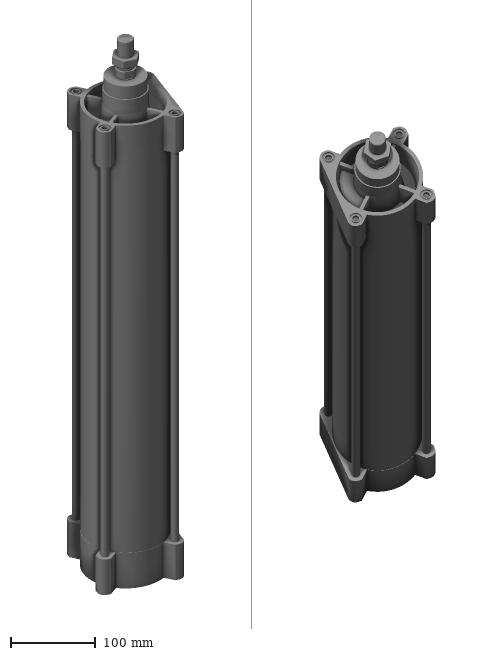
import cadquery as cq
import math

TOTAL_LENGTH = 731.5
REAR_BOSS_HEIGHT = 4.0
HEAD_HEIGHT = 49.0
FRONT_HEAD_TOP = 643.0
COLLAR_STEP_Z = 663.0
COLLAR_TOP = 680.0
ROD_SHOULDER_Z = 691.0
NUT_BOTTOM = 699.0
NUT_HEIGHT = 9.5
FRONT_HEAD_BOTTOM = FRONT_HEAD_TOP - HEAD_HEIGHT
REAR_HEAD_TOP = REAR_BOSS_HEIGHT + HEAD_HEIGHT

HEAD_SIDE = 110.0
HEAD_DIAMETER = 107.5
TUBE_DIAMETER = 107.0
LUG_WIDTH = 20.0
LUG_CORNER_DIAMETER = 18.0
PAD_INNER_Y = 42.0
BOSS_DIAMETER = 55.0
COLLAR_DIAMETER = 52.0

TIE_ROD_OFFSET = 44.5
TIE_ROD_DIAMETER = 10.0
SCREW_SEAT_DIAMETER = 15.0
SCREW_SEAT_DEPTH = 2.0
SCREW_SOCKET_DIAMETER = 8.0
SCREW_SOCKET_DEPTH = 4.5

RECESS_MOUTH_DIAMETER = 98.0
RECESS_FLOOR_DIAMETER = 89.0
RECESS_DEPTH = 29.0
BOSS_FOOT_DIAMETER = 64.5
PORT_FLOOR_DEPTH = 11.0
RIB_TOP_WIDTH = 4.5
RIB_FOOT_WIDTH = 11.0
RIB_TOP_DROP = 2.0

ROD_DIAMETER = 25.0
ROD_FLATS_WIDTH = 22.0
ROD_FLATS_BOTTOM = 682.0
THREAD_DIAMETER = 20.0
UNDERCUT_DIAMETER = 17.5
UNDERCUT_HEIGHT = 3.0
UNDERCUT_LAND = 2.0
ROD_END_CHAMFER = 1.0
NUT_WIDTH_ACROSS_FLATS = 30.0

DIAGONALS = (45, 135)


def disc(diameter, bottom, top):
    return cq.Workplane("XY").workplane(offset=bottom).circle(diameter / 2).extrude(top - bottom)


def cone(bottom_diameter, top_diameter, bottom, top):
    return (
        cq.Workplane("XY").workplane(offset=bottom).circle(bottom_diameter / 2)
        .workplane(offset=top - bottom).circle(top_diameter / 2).loft()
    )


def tie_rod_points():
    return [(x, y) for x in (-TIE_ROD_OFFSET, TIE_ROD_OFFSET) for y in (-TIE_ROD_OFFSET, TIE_ROD_OFFSET)]


def at_tie_rods(diameter, bottom, top):
    return (
        cq.Workplane("XY").workplane(offset=bottom)
        .pushPoints(tie_rod_points()).circle(diameter / 2).extrude(top - bottom)
    )


def head(bottom):
    """Round head with four diagonal lugs and a flat pad on its +Y side, kept in a rounded square."""
    top = bottom + HEAD_HEIGHT
    blank = disc(HEAD_DIAMETER, bottom, top)
    base = cq.Workplane("XY").workplane(offset=bottom)
    for angle in DIAGONALS:
        arm = base.transformed(rotate=(0, 0, angle)).rect(2 * HEAD_SIDE, LUG_WIDTH).extrude(HEAD_HEIGHT)
        blank = blank.union(arm)
    pad_depth = HEAD_SIDE / 2 - PAD_INNER_Y
    pad = (
        base.center(0, HEAD_SIDE / 2 - pad_depth / 2)
        .rect(2 * TIE_ROD_OFFSET, pad_depth).extrude(HEAD_HEIGHT)
    )
    envelope = base.rect(HEAD_SIDE, HEAD_SIDE).extrude(HEAD_HEIGHT).edges("|Z").fillet(LUG_CORNER_DIAMETER / 2)
    return blank.union(pad).intersect(envelope)


def ribs(floor):
    """Two crossing diagonal bars, thinner towards the top, that form the four ribs."""
    top = FRONT_HEAD_TOP - RIB_TOP_DROP
    section = [
        (-RIB_FOOT_WIDTH / 2, floor),
        (RIB_FOOT_WIDTH / 2, floor),
        (RIB_TOP_WIDTH / 2, top),
        (-RIB_TOP_WIDTH / 2, top),
    ]
    bar = cq.Workplane("XZ").polyline(section).close().extrude(HEAD_SIDE / 2, both=True)
    return [bar.rotate((0, 0, 0), (0, 0, 1), angle) for angle in DIAGONALS]


def tapered_ring(depth):
    """Ring with a sloping outer wall, around a boss that flares towards the foot of the deepest part."""
    ring = cone(RECESS_FLOOR_DIAMETER, RECESS_MOUTH_DIAMETER, FRONT_HEAD_TOP - depth, FRONT_HEAD_TOP)
    boss = cone(BOSS_FOOT_DIAMETER, BOSS_DIAMETER, FRONT_HEAD_TOP - RECESS_DEPTH, FRONT_HEAD_TOP)
    return ring.cut(boss)


def recess():
    """Ring recess around the boss, shallower in the +Y quarter and crossed by the ribs."""
    floor = FRONT_HEAD_TOP - RECESS_DEPTH
    port_quarter = (
        cq.Workplane("XY").workplane(offset=floor)
        .polyline([(0, 0), (HEAD_SIDE, HEAD_SIDE), (-HEAD_SIDE, HEAD_SIDE)]).close()
        .extrude(RECESS_DEPTH)
    )
    deep_part = tapered_ring(RECESS_DEPTH).cut(port_quarter)
    shallow_part = tapered_ring(PORT_FLOOR_DEPTH).intersect(port_quarter)
    pockets = deep_part.union(shallow_part)
    for rib in ribs(floor):
        pockets = pockets.cut(rib)
    return pockets


def make_housing():
    """Tube, two heads, tie rods, rear boss and front collar, with the rod bore in the front head."""
    body = disc(TUBE_DIAMETER, REAR_HEAD_TOP, FRONT_HEAD_BOTTOM)
    body = body.union(head(REAR_BOSS_HEIGHT)).union(head(FRONT_HEAD_BOTTOM))
    body = body.union(at_tie_rods(TIE_ROD_DIAMETER, REAR_HEAD_TOP, FRONT_HEAD_BOTTOM))
    body = body.union(disc(BOSS_DIAMETER, 0, REAR_BOSS_HEIGHT))
    body = body.cut(recess())
    body = body.union(disc(BOSS_DIAMETER, FRONT_HEAD_TOP, COLLAR_STEP_Z))
    body = body.union(disc(COLLAR_DIAMETER, COLLAR_STEP_Z, COLLAR_TOP))
    seat_bottom = FRONT_HEAD_TOP - SCREW_SEAT_DEPTH
    seats = at_tie_rods(SCREW_SEAT_DIAMETER, seat_bottom, FRONT_HEAD_TOP)
    seats = seats.cut(at_tie_rods(TIE_ROD_DIAMETER, seat_bottom, FRONT_HEAD_TOP))
    sockets = at_tie_rods(SCREW_SOCKET_DIAMETER, FRONT_HEAD_TOP - SCREW_SOCKET_DEPTH, FRONT_HEAD_TOP)
    return body.cut(seats).cut(sockets).cut(disc(ROD_DIAMETER, FRONT_HEAD_BOTTOM, COLLAR_TOP))


def make_rod():
    """Rod with two wrench flats and a threaded end, grooved just above the shoulder."""
    shank = disc(ROD_DIAMETER, FRONT_HEAD_BOTTOM, ROD_SHOULDER_Z)
    flats = (
        cq.Workplane("XY").workplane(offset=ROD_FLATS_BOTTOM)
        .rect(2 * ROD_DIAMETER, 2 * ROD_DIAMETER).rect(ROD_FLATS_WIDTH, 2 * ROD_DIAMETER)
        .extrude(ROD_SHOULDER_Z - ROD_FLATS_BOTTOM)
    )
    undercut_bottom = ROD_SHOULDER_Z + UNDERCUT_LAND
    undercut_top = undercut_bottom + UNDERCUT_HEIGHT
    thread = disc(THREAD_DIAMETER, ROD_SHOULDER_Z, TOTAL_LENGTH).faces(">Z").chamfer(ROD_END_CHAMFER)
    undercut = disc(THREAD_DIAMETER, undercut_bottom, undercut_top)
    undercut = undercut.cut(disc(UNDERCUT_DIAMETER, undercut_bottom, undercut_top))
    return shank.cut(flats).union(thread.cut(undercut))


def make_nut():
    """Hexagon nut with two corners pointing along Y."""
    corner_diameter = NUT_WIDTH_ACROSS_FLATS / math.cos(math.radians(30))
    blank = (
        cq.Workplane("XY").workplane(offset=NUT_BOTTOM).transformed(rotate=(0, 0, 90))
        .polygon(6, corner_diameter).extrude(NUT_HEIGHT)
    )
    return blank.cut(disc(THREAD_DIAMETER, NUT_BOTTOM, NUT_BOTTOM + NUT_HEIGHT))


housing = make_housing()
rod = make_rod()
nut = make_nut()
result = cq.Compound.makeCompound([housing.val(), rod.val(), nut.val()])